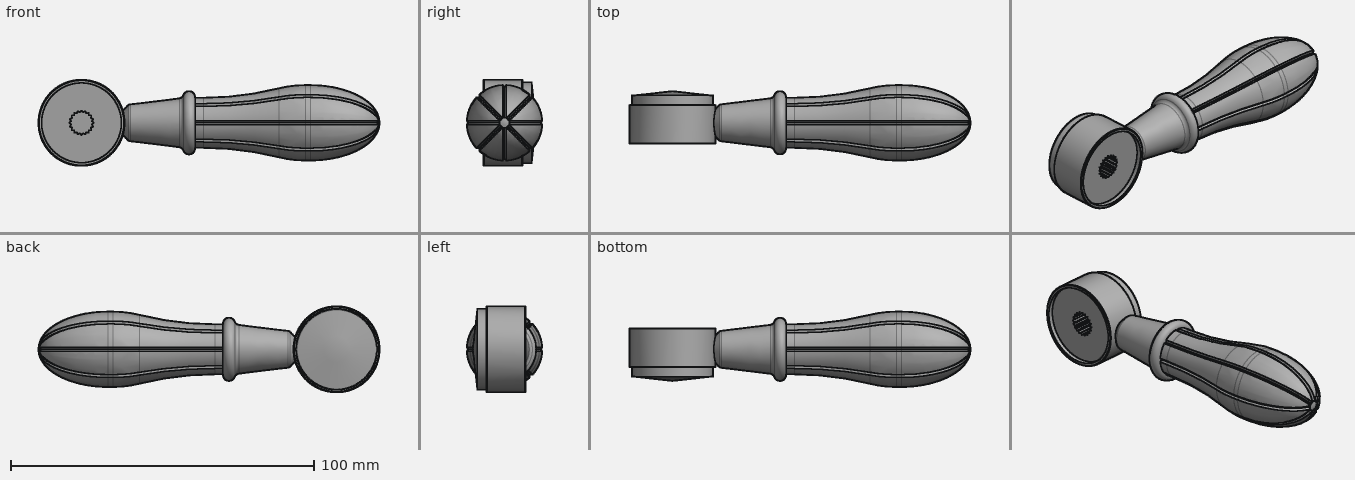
import cadquery as cq
import math


HUB_RADIUS = 14.24
HUB_FRONT = -7.0
HUB_BACK = 6.0
HUB_CHAMFER = 0.2
BORE_RADIUS = 13.2

INSERT_RECESS = 1.7
SERRATION_COUNT = 20
SERRATION_TIP_RADIUS = 4.0
SERRATION_ROOT_RADIUS = 3.5

CAP_RADIUS = 13.4
CAP_RIM = 9.0
CONE_RADIUS = 13.0
CONE_HEIGHT = 1.5

ROOT_START = 12.9
ROOT_END = 15.6
ROOT_RADIUS = 6.1
ROOT_BLEND = 1.1
ARM_TAPER = 0.122
COLLAR_BEAD_RADIUS = 2.0
COLLAR_CENTER = 35.5
COLLAR_RADIUS = 10.5
COLLAR_BLEND = 1.6

OVERALL_LENGTH = 112.5
GRIP_START = COLLAR_CENTER + COLLAR_BEAD_RADIUS
GRIP_NECK_END = 40.2
GRIP_FLARE_END = 65.0
GRIP_BELLY_START = 73.7
GRIP_BELLY_END = 75.4
GRIP_TIP = OVERALL_LENGTH - HUB_RADIUS
GRIP_NECK_RADIUS = 8.3
GRIP_BELLY_RADIUS = 12.5
GROOVE_COUNT = 8
GROOVE_DEPTH = 0.7
GROOVE_END_RADIUS = 1.7

X_AXIS = ((0, 0, 0), (1, 0, 0))


def cylinder_y(radius, front, back):
    """A cylinder on the Y axis between two Y positions."""
    return cq.Workplane("XZ", origin=(0, front, 0)).circle(radius).extrude(front - back)


def arm_radius(x):
    """Radius of the tapered arm at a position along X."""
    return ROOT_RADIUS + ARM_TAPER * (x - ROOT_END)


def collar_blend_points():
    """Start, middle and end of the concave arc between the tapered arm and the collar bead."""
    bead_r = COLLAR_RADIUS - COLLAR_BEAD_RADIUS
    slope_angle = math.atan(ARM_TAPER)
    offset = COLLAR_BLEND / math.cos(slope_angle)
    drop = bead_r - arm_radius(COLLAR_CENTER) - offset
    reach = COLLAR_BEAD_RADIUS + COLLAR_BLEND
    along = -drop * math.sin(slope_angle)
    across = drop * math.cos(slope_angle)
    back = math.sqrt(reach**2 - across**2) + along
    center_x = COLLAR_CENTER - back * math.cos(slope_angle)
    center_r = arm_radius(center_x) + offset

    to_arm = slope_angle - math.pi / 2
    to_bead = math.atan2(bead_r - center_r, COLLAR_CENTER - center_x)
    angles = (to_arm, (to_arm + to_bead) / 2, to_bead)
    return [
        (center_x + COLLAR_BLEND * math.cos(a), center_r + COLLAR_BLEND * math.sin(a))
        for a in angles
    ]


def make_arm():
    """Tapered arm with a conical root and a rounded collar, turned about the X axis."""
    bead_r = COLLAR_RADIUS - COLLAR_BEAD_RADIUS
    blend_start, blend_middle, blend_end = collar_blend_points()
    root_tip_radius = ROOT_RADIUS - (ROOT_END - ROOT_START)
    arm = (
        cq.Workplane("XY")
        .moveTo(ROOT_START, 0)
        .lineTo(ROOT_START, root_tip_radius)
        .lineTo(ROOT_END, ROOT_RADIUS)
        .lineTo(*blend_start)
        .threePointArc(blend_middle, blend_end)
        .threePointArc((COLLAR_CENTER, COLLAR_RADIUS), (GRIP_START, bead_r))
        .lineTo(GRIP_START, 0)
        .close()
        .revolve(360, *X_AXIS)
    )
    root_edge = cq.selectors.NearestToPointSelector((ROOT_END, 0, 0))
    return arm.edges(root_edge).fillet(ROOT_BLEND)


def make_lever():
    """Hub ring and arm in one piece."""
    hub = cylinder_y(HUB_RADIUS, HUB_FRONT, HUB_BACK).edges().chamfer(HUB_CHAMFER)
    bore = cylinder_y(BORE_RADIUS, HUB_FRONT, HUB_BACK)
    return hub.union(make_arm()).cut(bore)


def make_insert():
    """Disc that fills the bore behind the front recess, with a serrated hole through it."""
    front = HUB_FRONT + INSERT_RECESS
    points = []
    for i in range(2 * SERRATION_COUNT):
        radius = SERRATION_ROOT_RADIUS if i % 2 else SERRATION_TIP_RADIUS
        angle = math.pi * i / SERRATION_COUNT
        points.append((radius * math.cos(angle), radius * math.sin(angle)))
    serrated_hole = (
        cq.Workplane("XZ", origin=(0, front, 0)).polyline(points).close().extrude(front - HUB_BACK)
    )
    return cylinder_y(BORE_RADIUS, front, HUB_BACK).cut(serrated_hole)


def make_cap():
    """Round cover on the back of the hub, ending in a shallow cone."""
    return (
        cq.Workplane("XY")
        .moveTo(0, HUB_BACK)
        .lineTo(CAP_RADIUS, HUB_BACK)
        .lineTo(CAP_RADIUS, CAP_RIM)
        .lineTo(CONE_RADIUS, CAP_RIM)
        .lineTo(0, CAP_RIM + CONE_HEIGHT)
        .close()
        .revolve(360, (0, 0, 0), (0, 1, 0))
    )


def grip_outline(end_radius):
    """Grip outline from the collar over the belly, ending on the nose at a distance from the X axis."""
    rise = GRIP_BELLY_RADIUS - GRIP_NECK_RADIUS
    slope = 2 * rise / (GRIP_BELLY_START - GRIP_NECK_END)
    flare_radius = GRIP_NECK_RADIUS + slope * (GRIP_FLARE_END - GRIP_NECK_END) / 2

    start = cq.Vector(GRIP_START, GRIP_NECK_RADIUS)
    neck_end = cq.Vector(GRIP_NECK_END, GRIP_NECK_RADIUS)
    flare_end = cq.Vector(GRIP_FLARE_END, flare_radius)
    belly_start = cq.Vector(GRIP_BELLY_START, GRIP_BELLY_RADIUS)
    belly_end = cq.Vector(GRIP_BELLY_END, GRIP_BELLY_RADIUS)
    flare = cq.Edge.makeTangentArc(neck_end, cq.Vector(1, 0), flare_end)
    shoulder = cq.Edge.makeTangentArc(flare_end, flare.tangentAt(1), belly_start)
    nose = cq.Edge.makeEllipse(
        GRIP_TIP - GRIP_BELLY_END,
        GRIP_BELLY_RADIUS,
        pnt=cq.Vector(GRIP_BELLY_END, 0),
        xdir=cq.Vector(1, 0),
        angle1=math.degrees(math.asin(end_radius / GRIP_BELLY_RADIUS)),
        angle2=90,
    )
    return [
        cq.Edge.makeLine(start, neck_end),
        flare,
        shoulder,
        cq.Edge.makeLine(belly_start, belly_end),
        nose,
    ]


def make_groove():
    """Cutter with a right-angled V section that follows the grip outline."""
    path = cq.Wire.assembleEdges(grip_outline(GROOVE_END_RADIUS))
    bottom = GRIP_NECK_RADIUS - GROOVE_DEPTH
    top = GRIP_NECK_RADIUS + GROOVE_DEPTH
    half_width = top - bottom
    return (
        cq.Workplane("YZ", origin=(GRIP_START, 0, 0))
        .polyline([(bottom, 0), (top, half_width), (top, -half_width)])
        .close()
        .sweep(cq.Workplane(path))
    )


def make_grip():
    """Turned grip with equally spaced V grooves along it."""
    tip = cq.Vector(GRIP_TIP, 0)
    axis_start = cq.Vector(GRIP_START, 0)
    neck_start = cq.Vector(GRIP_START, GRIP_NECK_RADIUS)
    profile = cq.Wire.assembleEdges(
        grip_outline(0)
        + [cq.Edge.makeLine(tip, axis_start), cq.Edge.makeLine(axis_start, neck_start)]
    )
    body = cq.Solid.revolve(profile, [], 360, cq.Vector(*X_AXIS[0]), cq.Vector(*X_AXIS[1]))
    grip = cq.Workplane(body)
    groove = make_groove()
    for i in range(GROOVE_COUNT):
        grip = grip.cut(groove.rotate(*X_AXIS, i * 360 / GROOVE_COUNT))
    return grip


lever = make_lever()
insert = make_insert()
cap = make_cap()
grip = make_grip()

result = cq.Compound.makeCompound([lever.val(), insert.val(), cap.val(), grip.val()])